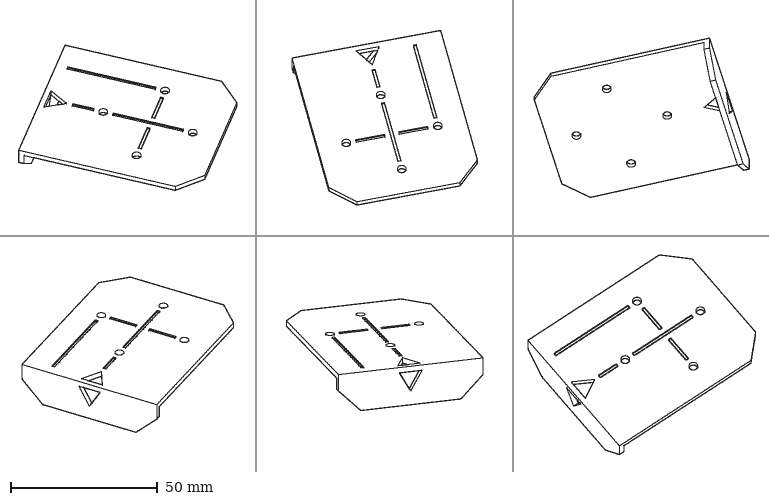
import cadquery as cq
import math

length = 64.0
width = 52.0
height = 14.0
thickness = 2.0
corner_cut = 8.0

hole_diameter = 3.0
near_hole_distance = 20.0
side_hole_distance = 37.0
hole_pitch = 32.0
near_hole_x = thickness + near_hole_distance
far_hole_x = near_hole_x + hole_pitch
side_hole_x = thickness + side_hole_distance
side_hole_y = hole_pitch / 2

window_side = 8.0
window_reach = window_side * math.sqrt(3) / 2

groove_width = 1.0
groove_depth = 0.5
hole_gap = 3.45
long_groove_start_x = 4.0
near_groove_start_x = 11.0
cross_groove_start_y = 2.5


def make_plate():
    """Horizontal plate, top face at Z = 0, with its two far corners cut off."""
    plate = cq.Workplane("XY").box(length, width, thickness, centered=(False, True, False))
    plate = plate.translate((0, 0, -thickness))
    return plate.edges("|Z and >X").chamfer(corner_cut)


def make_lip():
    """Vertical lip along the X = 0 edge, with its two lower corners cut off."""
    lip = cq.Workplane("XY").box(thickness, width, height, centered=(False, True, False))
    lip = lip.translate((0, 0, -height))
    return lip.edges("|X and <Z").chamfer(corner_cut)


def make_windows():
    """Triangular prisms that point away from the inner corner of the L."""
    half_side = window_side / 2
    plate_window = (
        cq.Workplane("XY")
        .polyline([(thickness, -half_side), (thickness, half_side), (thickness + window_reach, 0)])
        .close()
        .extrude(-thickness)
    )
    lip_window = (
        cq.Workplane("YZ")
        .polyline([(-half_side, -thickness), (half_side, -thickness), (0, -thickness - window_reach)])
        .close()
        .extrude(thickness)
    )
    return plate_window.union(lip_window)


def make_holes():
    """Marking holes through the plate: two on the centreline and one on each side."""
    centres = [
        (near_hole_x, 0),
        (far_hole_x, 0),
        (side_hole_x, side_hole_y),
        (side_hole_x, -side_hole_y),
    ]
    return cq.Workplane("XY").pushPoints(centres).circle(hole_diameter / 2).extrude(-thickness)


def make_groove(start_x, end_x, start_y, end_y):
    """Rectangular groove cut down from the top face."""
    return (
        cq.Workplane("XY")
        .center((start_x + end_x) / 2, (start_y + end_y) / 2)
        .rect(end_x - start_x, end_y - start_y)
        .extrude(-groove_depth)
    )


def groove_along_x(start_x, end_x, centre_y):
    half_width = groove_width / 2
    return make_groove(start_x, end_x, centre_y - half_width, centre_y + half_width)


def groove_along_y(centre_x, start_y, end_y):
    half_width = groove_width / 2
    return make_groove(centre_x - half_width, centre_x + half_width, start_y, end_y)


result = make_plate().union(make_lip()).cut(make_windows()).cut(make_holes())

result = result.cut(groove_along_x(near_groove_start_x, near_hole_x - hole_gap, 0))
result = result.cut(groove_along_x(near_hole_x + hole_gap, far_hole_x - hole_gap, 0))
result = result.cut(groove_along_x(long_groove_start_x, side_hole_x - hole_gap, side_hole_y))

cross_groove_end_y = side_hole_y - hole_gap
result = result.cut(groove_along_y(side_hole_x, cross_groove_start_y, cross_groove_end_y))
result = result.cut(groove_along_y(side_hole_x, -cross_groove_end_y, -cross_groove_start_y))